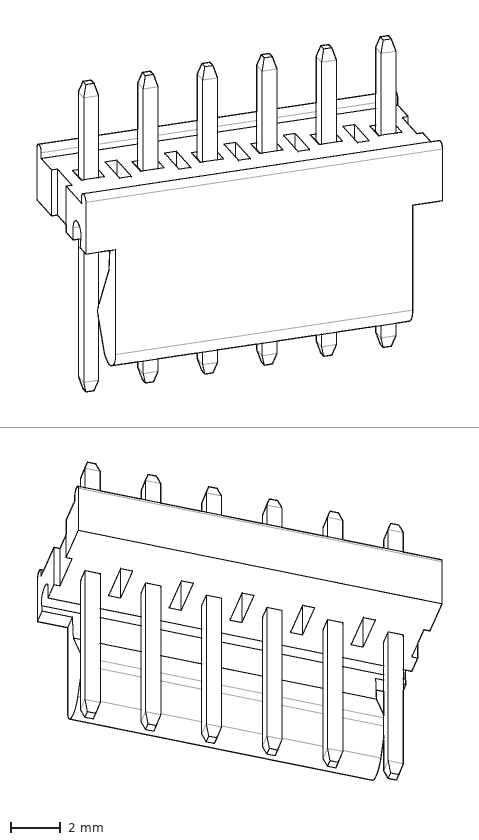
import cadquery as cq
import math

pin_count = 6
body_length = 15.24
pitch = body_length / pin_count
body_left = -2.55
body_width = 5.7
body_right = body_left + body_width
body_height = 2.03

rim_width = 0.5
rim_radius = rim_width / 2
rim_top = 2.53

slot_width = 1.69
slot_length = 0.5

pin_side = 0.64
pin_top = 6.04
pin_bottom = -7.47
tip_side = 0.35
tip_length = 0.5

lead_in_side = 1.0
lead_in_depth = 0.2

groove_left = 1.68
groove_radius = 0.45
groove_center_x = groove_left + groove_radius
groove_center_z = 0.55
groove_end_angle = math.radians(-30)
groove_end_x = groove_center_x + groove_radius * math.cos(groove_end_angle)
groove_end_z = groove_center_z + groove_radius * math.sin(groove_end_angle)

arm_length = body_length - pitch
neck_x = 2.36
neck_z = -1.23
arm_root_x = neck_x + (groove_end_x - neck_x) * neck_z / (neck_z - groove_end_z)
nose_z = -3.55
nose_radius = 0.45
toe_radius = 0.75
toe_center_x = body_right - toe_radius
toe_bottom = -5.35
toe_center_z = toe_bottom + toe_radius
toe_angle = math.radians(28)
toe_start_x = toe_center_x - toe_radius * math.cos(toe_angle)
toe_start_z = toe_center_z - toe_radius * math.sin(toe_angle)
nose_x = toe_start_x - (nose_z - toe_start_z) * math.tan(toe_angle)


def extrude_along_row(profile, length):
    """Extrude an XZ profile symmetrically about the middle of the pin row."""
    return profile.extrude(length / 2, both=True)


def square_taper(x, y, z, side, end_side, height):
    """Square frustum that starts at height z; a negative height points it down."""
    return (
        cq.Workplane("XY", origin=(x, y, z))
        .rect(side, side)
        .workplane(offset=height)
        .rect(end_side, end_side)
        .loft()
    )


def make_body():
    rim_shoulder = rim_top - rim_radius
    profile = (
        cq.Workplane("XZ")
        .moveTo(body_left, 0)
        .lineTo(body_left, rim_shoulder)
        .threePointArc((body_left + rim_radius, rim_top), (body_left + rim_width, rim_shoulder))
        .lineTo(body_left + rim_width, body_height)
        .lineTo(body_right - rim_width, body_height)
        .lineTo(body_right - rim_width, rim_shoulder)
        .threePointArc((body_right - rim_radius, rim_top), (body_right, rim_shoulder))
        .lineTo(body_right, 0)
        .lineTo(arm_root_x, 0)
        .lineTo(groove_end_x, groove_end_z)
        .threePointArc(
            (groove_center_x, groove_center_z + groove_radius),
            (groove_left, groove_center_z),
        )
        .lineTo(groove_left, 0)
        .close()
    )
    slot_places = [(0, i * pitch - body_length / 2) for i in range(pin_count + 1)]
    slots = cq.Workplane("XY").pushPoints(slot_places).rect(slot_width, slot_length).extrude(body_height)
    return extrude_along_row(profile, body_length).cut(slots)


def make_arm():
    profile = (
        cq.Workplane("XZ")
        .moveTo(body_right, 0)
        .lineTo(arm_root_x, 0)
        .lineTo(neck_x, neck_z)
        .lineTo(nose_x, nose_z)
        .lineTo(toe_start_x, toe_start_z)
        .threePointArc((toe_center_x, toe_bottom), (body_right, toe_center_z))
        .close()
    )
    arm = extrude_along_row(profile, arm_length)
    nose_edge = cq.selectors.NearestToPointSelector((nose_x, 0, nose_z))
    return arm.edges(nose_edge).fillet(nose_radius)


def make_pin(y):
    shank_bottom = pin_bottom + tip_length
    shank_top = pin_top - tip_length
    shank = (
        cq.Workplane("XY", origin=(0, y, shank_bottom))
        .rect(pin_side, pin_side)
        .extrude(shank_top - shank_bottom)
    )
    upper_tip = square_taper(0, y, shank_top, pin_side, tip_side, tip_length)
    lower_tip = square_taper(0, y, shank_bottom, pin_side, tip_side, -tip_length)
    return shank.union(upper_tip).union(lower_tip)


result = make_body().union(make_arm())
for pin_index in range(pin_count):
    pin_y = (pin_index + 0.5) * pitch - body_length / 2
    lead_in = square_taper(0, pin_y, body_height, lead_in_side, pin_side, -lead_in_depth)
    result = result.cut(lead_in).union(make_pin(pin_y))